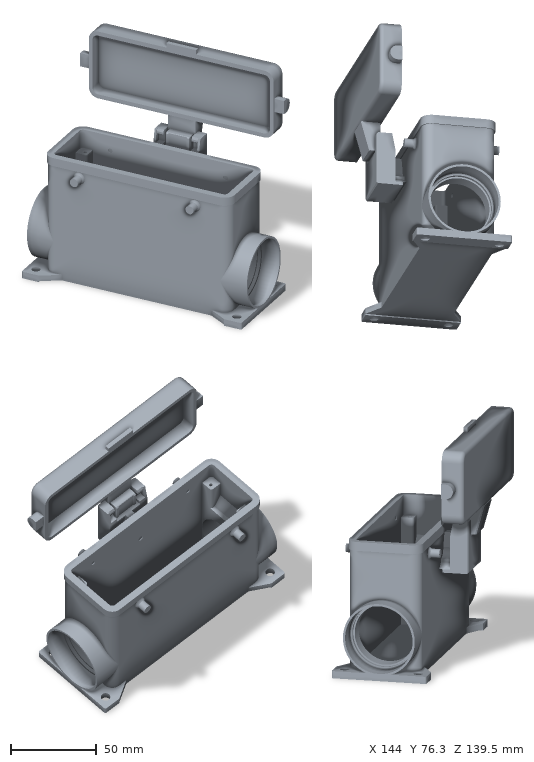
import cadquery as cq
import math

overall_length = 144.0
base_z = 0.7
housing_length = 120.8
housing_width = 43.2
housing_corner = 5.9
housing_top = 79.9
rim_bottom = 74.6
rim_step = 0.7
cavity_length = 113.5
cavity_width = 36.0
cavity_corner = 2.2
floor_z = 3.7

end_block_x = 49.2
end_block_top = 49.7
ramp_x = 52.0
ramp_top = 56.3
post_side_y = 10.4
post_top = 68.0
post_corner = 1.5
screw_x = 51.8
screw_y = 13.4
screw_radius = 1.0
screw_depth = 11.5

entry_z = 24.6
entry_radius = 21.6
entry_bore_radius = 18.0
mouth_radius = 20.3
mouth_depth = 11.7
relief_radius = 19.0
relief_depth = 13.7

foot_width = 57.0
foot_height = 4.3
foot_straight_x = 60.8
foot_tip_x = 48.8
foot_corner = 1.2
foot_hole_x = 65.8
foot_hole_y = 22.2
foot_hole_radius = 2.7

peg_x = 37.9
peg_z = 70.1
peg_radius = 2.6
peg_end_y = 28.2
peg_collar_radius = 3.7
peg_collar_height = 1.5
peg_dimple_radius = 1.5
dimple_depth = 0.5

bracket_half_width = 15.0
bracket_front_y = 28.1
bracket_back_y = 39.2
bracket_bottom = 52.8
bracket_top = 84.7
bracket_top_front_y = 30.1
bracket_slope_z = 74.3
bracket_edge = 0.7
bracket_slot_half = 9.2
bracket_slot_floor = 74.2
lip_front_y = 23.6
lip_thickness = 2.0
cheek_wall = 1.5
cheek_pocket_y = 32.7
cheek_pocket_floor = 76.3
cheek_pocket_roof = 82.0
cheek_bevel = 1.5
boss_top_half = 2.5
boss_steep_x = 5.2
boss_steep_z = 65.8
boss_curve_x = 10.7
boss_curve_z = 59.9
boss_step_z = 57.9
rivet_z = 59.0
rivet_radius = 1.7
wall_overlap = 1.5

cover_length = 121.0
cover_bottom = 92.9
cover_top = 136.7
cover_front_y = 34.8
cover_back_y = 47.8
cover_corner = 6.0
cover_back_round = 2.3
pocket_length = 116.0
pocket_bottom = 95.5
pocket_top = 133.9
pocket_corner = 3.5
pocket_floor_y = 43.2
tab_half = 9.8
tab_top = 139.5
tab_thickness = 2.6
cover_peg_end = 66.8
cover_peg_radius = 4.3
cover_peg_y = 38.9
cover_peg_flat_y = 36.0
arm_half = 9.0
arm_front_y = 35.5
arm_back_y = 47.2
arm_tip_y = 42.3
arm_bottom = 75.3
arm_edge = 0.7
knuckle_half = 7.6
knuckle_top = 83.8
knuckle_front_y = 30.1
knuckle_edge = 0.7
knuckle_recess_half = 6.0
knuckle_recess_depth = 0.5

wall_y = housing_width / 2
cavity_end_x = cavity_length / 2
cavity_side_y = cavity_width / 2
cover_height = cover_top - cover_bottom
cover_mid_z = (cover_top + cover_bottom) / 2
sides = (-1, 1)


def box(x0, x1, y0, y1, z0, z1):
    return cq.Workplane("XY").box(x1 - x0, y1 - y0, z1 - z0, centered=False).translate((x0, y0, z0))


def round_block(length, width, corner, z0, z1):
    """Upright block centred on Z, with round vertical edges."""
    block = cq.Workplane("XY").rect(length, width).extrude(z1 - z0).translate((0, 0, z0))
    return block.edges("|Z").fillet(corner)


def x_cylinder(x0, x1, z, radius):
    return cq.Workplane("YZ", origin=(x0, 0, z)).circle(radius).extrude(x1 - x0)


def y_cylinder(x, z, y0, y1, radius):
    """Round bar along Y; workplane XZ faces -Y."""
    return cq.Workplane("XZ", origin=(x, y0, z)).circle(radius).extrude(y0 - y1)


def yz_prism(points, half_width):
    """Profile of (y, z) points, extruded to both sides of X = 0."""
    return cq.Workplane("YZ").polyline(points).close().extrude(half_width, both=True)


def mirrored_in_x(shape):
    return shape.union(shape.mirror("YZ"))


def make_shell():
    walls = round_block(housing_length, housing_width, housing_corner, base_z, housing_top)
    rim = round_block(
        housing_length + 2 * rim_step,
        housing_width + 2 * rim_step,
        housing_corner + rim_step,
        rim_bottom,
        housing_top,
    )
    return walls.union(rim)


def make_end_block():
    """Thick end wall at +X, with a ramp on top, that carries the entry bore."""
    profile = [
        (end_block_x, floor_z),
        (end_block_x, end_block_top),
        (ramp_x, end_block_top),
        (cavity_end_x, ramp_top),
        (cavity_end_x, floor_z),
    ]
    return cq.Workplane("XZ").polyline(profile).close().extrude(cavity_side_y, both=True)


def make_posts():
    """The two screw posts at +X."""
    posts = cq.Workplane("XY")
    for side in sides:
        y0, y1 = sorted((side * post_side_y, side * cavity_side_y))
        post = box(end_block_x, cavity_end_x, y0, y1, end_block_top, post_top)
        inner_edge = cq.selectors.NearestToPointSelector(
            (end_block_x, side * post_side_y, (end_block_top + post_top) / 2)
        )
        post = post.edges(inner_edge).fillet(post_corner)
        screw_hole = (
            cq.Workplane("XY", origin=(screw_x, side * screw_y, post_top - screw_depth))
            .circle(screw_radius)
            .extrude(screw_depth)
        )
        posts = posts.add(post.cut(screw_hole))
    return posts.combine()


def make_cavity():
    cavity = round_block(cavity_length, cavity_width, cavity_corner, floor_z, housing_top)
    return cavity.cut(mirrored_in_x(make_end_block())).cut(mirrored_in_x(make_posts()))


def make_foot():
    """Foot at +X with its two screw holes; the inner part is raised to the housing underside."""
    end_x = overall_length / 2
    side_y = foot_width / 2
    outline = [
        (0, -wall_y),
        (foot_tip_x, -wall_y),
        (foot_straight_x, -side_y),
        (end_x, -side_y),
        (end_x, side_y),
        (foot_straight_x, side_y),
        (foot_tip_x, wall_y),
        (0, wall_y),
    ]
    foot = cq.Workplane("XY").polyline(outline).close().extrude(foot_height)
    foot = foot.edges("|Z and >X").fillet(foot_corner)
    holes = (
        cq.Workplane("XY")
        .pushPoints([(foot_hole_x, side * foot_hole_y) for side in sides])
        .circle(foot_hole_radius)
        .extrude(foot_height)
    )
    relief = box(0, foot_straight_x, -side_y, side_y, 0, base_z)
    return foot.cut(holes).cut(relief)


def make_entry():
    return x_cylinder(end_block_x, overall_length / 2, entry_z, entry_radius)


def make_entry_bore():
    """Stepped bore from the mouth at +X into the cavity."""
    end_x = overall_length / 2
    bore = x_cylinder(0, end_x, entry_z, entry_bore_radius)
    relief = x_cylinder(end_x - relief_depth, end_x, entry_z, relief_radius)
    mouth = x_cylinder(end_x - mouth_depth, end_x, entry_z, mouth_radius)
    return bore.union(relief).union(mouth)


def make_peg(x, side):
    """Peg with a conical collar on one long wall."""
    root_y = wall_y - wall_overlap
    peg = y_cylinder(x, peg_z, side * root_y, side * peg_end_y, peg_radius)
    collar = cq.Workplane(
        cq.Solid.makeCone(
            peg_collar_radius,
            peg_radius,
            peg_collar_height,
            cq.Vector(x, side * wall_y, peg_z),
            cq.Vector(0, side, 0),
        )
    )
    return peg.union(collar)


def make_dimple(x, z, side, radius):
    """Shallow round recess in the inner face of a long wall."""
    return y_cylinder(x, z, side * cavity_side_y, side * (cavity_side_y + dimple_depth), radius)


def make_boss():
    """Bell-shaped boss that joins the bracket to the rear wall."""
    lip_top = bracket_bottom + lip_thickness
    run = boss_curve_x - boss_steep_x
    rise = boss_steep_z - boss_curve_z
    sag = 1 - math.sqrt(0.5)
    curve_middle = (boss_steep_x + sag * run, boss_curve_z + sag * rise)
    half = (
        cq.Workplane("XZ", origin=(0, bracket_front_y, 0))
        .moveTo(0, lip_top)
        .lineTo(0, bracket_slot_floor)
        .lineTo(boss_top_half, bracket_slot_floor)
        .lineTo(boss_steep_x, boss_steep_z)
        .threePointArc(curve_middle, (boss_curve_x, boss_curve_z))
        .lineTo(boss_curve_x, boss_step_z)
        .lineTo(bracket_half_width, lip_top)
        .close()
        .extrude(bracket_front_y - wall_y + wall_overlap)
    )
    return mirrored_in_x(half)


def make_cheek_pocket():
    """Opening in the front of the +X cheek, with a bevel above it, inside its outer wall."""
    x0 = bracket_slot_half
    x1 = bracket_half_width - cheek_wall
    pocket = box(x0, x1, bracket_front_y, cheek_pocket_y, cheek_pocket_floor, cheek_pocket_roof)
    front_y = bracket_top_front_y
    bevel = [
        (bracket_front_y, cheek_pocket_roof),
        (front_y, cheek_pocket_roof),
        (front_y, bracket_top - cheek_bevel),
        (front_y + cheek_bevel / 2, bracket_top),
        (bracket_front_y, bracket_top),
    ]
    front_cut = cq.Workplane("YZ", origin=(x0, 0, 0)).polyline(bevel).close().extrude(x1 - x0)
    return pocket.union(front_cut)


def make_bracket():
    profile = [
        (bracket_back_y, bracket_bottom),
        (bracket_back_y, bracket_top),
        (bracket_top_front_y, bracket_top),
        (bracket_front_y, bracket_slope_z),
        (bracket_front_y, bracket_bottom + lip_thickness),
        (lip_front_y, bracket_bottom + lip_thickness),
        (lip_front_y, bracket_bottom),
    ]
    bracket = yz_prism(profile, bracket_half_width)
    bracket = bracket.faces(">Y").edges().chamfer(bracket_edge)
    slot = box(
        -bracket_slot_half,
        bracket_slot_half,
        bracket_front_y,
        bracket_back_y,
        bracket_slot_floor,
        bracket_top,
    )
    bracket = bracket.cut(slot).cut(mirrored_in_x(make_cheek_pocket()))
    return bracket.union(make_boss())


def make_housing():
    housing = make_shell()
    housing = housing.union(mirrored_in_x(make_foot())).union(mirrored_in_x(make_entry()))
    housing = housing.union(make_bracket())
    housing = housing.cut(make_cavity()).cut(mirrored_in_x(make_entry_bore()))
    for side in sides:
        for x in (-peg_x, peg_x):
            housing = housing.union(make_peg(x, side))
            housing = housing.cut(make_dimple(x, peg_z, side, peg_dimple_radius))
    return housing.cut(make_dimple(0, rivet_z, 1, rivet_radius))


def make_cover_shell():
    """Shallow tray, open towards -Y."""
    plate = (
        cq.Workplane("XZ", origin=(0, cover_back_y, cover_mid_z))
        .rect(cover_length, cover_height)
        .extrude(cover_back_y - cover_front_y)
        .edges("|Y")
        .fillet(cover_corner)
        .faces(">Y")
        .edges()
        .fillet(cover_back_round)
    )
    pocket = (
        cq.Workplane("XZ", origin=(0, pocket_floor_y, (pocket_top + pocket_bottom) / 2))
        .rect(pocket_length, pocket_top - pocket_bottom)
        .extrude(pocket_floor_y - cover_front_y)
        .edges("|Y")
        .fillet(pocket_corner)
    )
    return plate.cut(pocket)


def make_tab():
    """Finger tab on the upper wall, flush with the open front."""
    return box(-tab_half, tab_half, cover_front_y, cover_front_y + tab_thickness, pocket_top, tab_top)


def make_cover_peg():
    """Peg at +X, round at the back and flat at the front."""
    wall_x = pocket_length / 2
    bar = (
        cq.Workplane("YZ", origin=(wall_x, 0, 0))
        .moveTo(cover_peg_flat_y, cover_mid_z - cover_peg_radius)
        .lineTo(cover_peg_y, cover_mid_z - cover_peg_radius)
        .threePointArc(
            (cover_peg_y + cover_peg_radius, cover_mid_z),
            (cover_peg_y, cover_mid_z + cover_peg_radius),
        )
        .lineTo(cover_peg_flat_y, cover_mid_z + cover_peg_radius)
        .close()
    )
    return bar.extrude(cover_peg_end - wall_x)


def make_arm():
    """Hinge arm that tapers down into the bracket slot, with a knuckle that rests on the slot floor."""
    profile = [
        (arm_front_y, arm_bottom),
        (arm_front_y, pocket_bottom),
        (arm_tip_y, pocket_bottom),
        (arm_back_y, cover_bottom),
        (arm_tip_y, arm_bottom),
    ]
    arm = yz_prism(profile, arm_half)
    slope_edges = cq.selectors.BoxSelector(
        (-overall_length, arm_tip_y, arm_bottom), (overall_length, arm_back_y, cover_bottom)
    )
    arm = arm.edges("not |X").edges(slope_edges).chamfer(arm_edge)
    knuckle = box(
        -knuckle_half, knuckle_half, knuckle_front_y, arm_front_y, bracket_slot_floor, knuckle_top
    )
    knuckle = knuckle.edges("|X and <Y and >Z").chamfer(knuckle_edge)
    recess = box(
        -knuckle_recess_half,
        knuckle_recess_half,
        knuckle_front_y,
        knuckle_front_y + knuckle_recess_depth,
        bracket_slot_floor,
        knuckle_top,
    )
    return arm.union(knuckle.cut(recess))


def make_cover():
    cover = make_cover_shell().union(make_tab())
    return cover.union(mirrored_in_x(make_cover_peg())).union(make_arm())


housing = make_housing()
cover = make_cover()
result = cq.Compound.makeCompound([housing.val(), cover.val()])